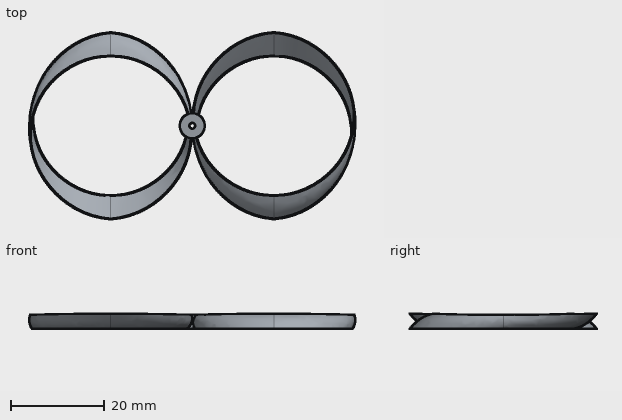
import cadquery as cq
import math


HUB_DIAMETER = 5.4
HUB_HEIGHT = 3.15
BORE_DIAMETER = 1.2

RING_OFFSET = 17.5
TIP_OUTER_RADIUS = 20.105
TIP_INNER_RADIUS = 15.05
SIDE_UPPER_RADIUS = 17.2
SIDE_LOWER_RADIUS = 16.7
TIP_HEIGHT = 3.31
SIDE_HEIGHT = 3.05
CAMBER = 0.55
EDGE_WIDTH = 0.2
QUARTER_TURN = 90
SECTION_STEP = 30


def edge_radius(angle, side_radius):
    """Radius of an edge that runs from the outer tip (+90 degrees) to the inner tip (-90 degrees)."""
    if angle > 0:
        return side_radius + (TIP_OUTER_RADIUS - side_radius) * angle / QUARTER_TURN
    return side_radius + (side_radius - TIP_INNER_RADIUS) * math.sin(math.radians(angle))


def point_at(angle, radius, height):
    """Point in the radial plane at the given angle, about the ring axis."""
    direction = math.radians(angle)
    return cq.Vector(radius * math.cos(direction), radius * math.sin(direction), height)


def blade_section(angle):
    """Section in the radial plane at the given angle: straight inner face, arched outer face, blunt edges."""
    upper_radius = edge_radius(angle, SIDE_UPPER_RADIUS)
    lower_radius = edge_radius(-angle, SIDE_LOWER_RADIUS)
    upper_height = SIDE_HEIGHT + (TIP_HEIGHT - SIDE_HEIGHT) * math.sin(math.radians(angle)) ** 2

    radial_run = upper_radius - lower_radius
    chord = math.hypot(radial_run, upper_height)
    crown_radius = (upper_radius + lower_radius) / 2 + CAMBER * upper_height / chord
    crown_height = upper_height / 2 - CAMBER * radial_run / chord

    outer_lower = point_at(angle, lower_radius, 0)
    outer_upper = point_at(angle, upper_radius, upper_height)
    inner_lower = point_at(angle, lower_radius - EDGE_WIDTH, 0)
    inner_upper = point_at(angle, upper_radius - EDGE_WIDTH, upper_height)
    crown = point_at(angle, crown_radius, crown_height)
    return cq.Wire.assembleEdges([
        cq.Edge.makeThreePointArc(outer_lower, crown, outer_upper),
        cq.Edge.makeLine(outer_upper, inner_upper),
        cq.Edge.makeLine(inner_upper, inner_lower),
        cq.Edge.makeLine(inner_lower, outer_lower),
    ])


def quarter_ring(start_angle):
    """Quarter of the ring lofted through radial sections, between a Y end and the X axis."""
    step_count = QUARTER_TURN // SECTION_STEP
    sections = [blade_section(start_angle + step * SECTION_STEP) for step in range(step_count + 1)]
    return cq.Workplane(obj=cq.Solid.makeLoft(sections))


def blade_ring():
    """Twisting half ring of two quarters, mirrored to close the loop, on the +X side."""
    half = quarter_ring(-QUARTER_TURN).union(quarter_ring(0))
    return half.union(half.mirror("YZ")).translate((RING_OFFSET, 0, 0))


def hub():
    return cq.Workplane().circle(HUB_DIAMETER / 2).extrude(HUB_HEIGHT)


def bore():
    return cq.Workplane().circle(BORE_DIAMETER / 2).extrude(HUB_HEIGHT)


ring = blade_ring()
opposite_ring = ring.rotate((0, 0, 0), (0, 0, 1), 180)
result = hub().union(ring).union(opposite_ring).cut(bore())